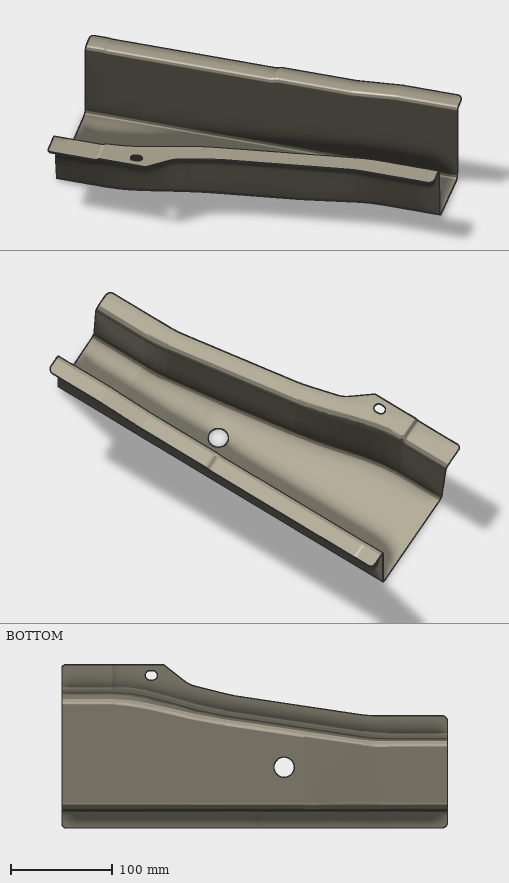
import cadquery as cq

LENGTH = 382.0
WIDTH = 162.0
HEIGHT = 91.3
SHEET = 1.5
OVERRUN = 7.5

BACK_FLANGE_BEND = 5.5
FRONT_FLANGE_BEND = 7.0
FLOOR_BEND = 4.5

BACK_WALL_Y = 141.7
BACK_STEP_FALL = 0.57
BACK_STEP_X = (19.0, 21.8)
BACK_LOW_Z = 85.0
BACK_JOGGLE_RISE = 1.7
BACK_JOGGLE_X = (189.5, 197.5)
BACK_RAMP_X = (272.7, 320.0)

FRONT_FLANGE_Z = 68.0
FRONT_JOGGLE_RISE = 2.1
FRONT_JOGGLE_X = (48.5, 54.2)

WALL_X = (48.5, 99.5, 160.5, 298.7, 324.0)
WALL_FOOT_Y = (36.3, 43.5, 56.0, 76.8, 78.0)
WALL_HEAD_Y = (27.5, 35.5, 51.0, 72.2, 74.0)

TWIST_X = (240.0, 322.8)
FLOOR_LIFT = 3.5

BACK_LEFT_RADIUS = 4.5
FRONT_LEFT_RADIUS = 4.0
RIGHT_RADIUS = 6.0
TAB_END_X = 101.0
NOTCH = ((120.7, 15.5), (129.5, 20.5))
EDGE_BEND = ((156.5, 27.5), (172.0, 31.0))
EDGE_END = ((294.0, 49.3), (313.2, 50.5))

ROUND_HOLE = (220.0, 101.5)
ROUND_HOLE_DIAMETER = 20.0
SLOT = (88.5, 10.7)
SLOT_LENGTH = 12.0
SLOT_WIDTH = 9.0


def add_joggle(profile, span, z_from, z_to):
    """Append a smooth S-shaped step made of two equal arcs to an XZ profile."""
    x_from, x_to = span
    profile = profile.lineTo(x_from, z_from)
    middle = ((x_from + x_to) / 2, (z_from + z_to) / 2)
    profile = profile.tangentArcPoint(middle, relative=False)
    return profile.tangentArcPoint((x_to, z_to), relative=False)


def start_shoulder(y, z):
    """Begin an XZ flange profile that lies at y and starts at height z."""
    profile = cq.Workplane("XZ", origin=(0, y, 0))
    return profile.moveTo(-OVERRUN, -OVERRUN).lineTo(-OVERRUN, z)


def finish_shoulder(profile, z, depth):
    """End a flange profile at height z, close it below and extrude it towards +Y."""
    profile = profile.lineTo(LENGTH + OVERRUN, z)
    profile = profile.lineTo(LENGTH + OVERRUN, -OVERRUN).close()
    return profile.extrude(-depth)


def back_shoulder(drop):
    """Body under the back flange, from the back wall outwards."""
    low = BACK_LOW_Z - drop
    start = low + BACK_STEP_FALL
    middle = low + BACK_JOGGLE_RISE
    top = HEIGHT - drop
    wall_y = BACK_WALL_Y + drop
    profile = start_shoulder(wall_y, start)
    profile = add_joggle(profile, BACK_STEP_X, start, low)
    profile = add_joggle(profile, BACK_JOGGLE_X, low, middle)
    ramp_start, ramp_end = BACK_RAMP_X
    profile = profile.lineTo(ramp_start, middle).lineTo(ramp_end, top)
    return finish_shoulder(profile, top, WIDTH + OVERRUN - wall_y)


def front_shoulder(drop):
    """Body at the height of the front flange, reaching across to the back wall."""
    high = FRONT_FLANGE_Z - drop
    low = high - FRONT_JOGGLE_RISE
    profile = start_shoulder(-OVERRUN, low)
    profile = add_joggle(profile, FRONT_JOGGLE_X, low, high)
    return finish_shoulder(profile, high, BACK_WALL_Y + drop + OVERRUN)


def cavity_outline(z, drop):
    """Plan outline of the channel at height z."""
    share = (z - SHEET) / (FRONT_FLANGE_Z - SHEET)
    wall = []
    for x, foot, head in zip(WALL_X, WALL_FOOT_Y, WALL_HEAD_Y):
        wall.append((x, foot + share * (head - foot) - drop))
    start, mid_bend, straight_start, straight_end, end = wall
    along_x = (1, 0)
    straight = (straight_end[0] - straight_start[0], straight_end[1] - straight_start[1])
    back_y = BACK_WALL_Y + drop
    plan = cq.Workplane("XY", origin=(0, 0, z))
    plan = plan.moveTo(-OVERRUN, start[1]).lineTo(*start)
    plan = plan.spline([mid_bend, straight_start], tangents=[along_x, straight], includeCurrent=True)
    plan = plan.lineTo(*straight_end)
    plan = plan.spline([end], tangents=[straight, along_x], includeCurrent=True)
    plan = plan.lineTo(LENGTH + OVERRUN, end[1]).lineTo(LENGTH + OVERRUN, back_y)
    return plan.lineTo(-OVERRUN, back_y).close().val()


def floor_section(x, lift, drop):
    """YZ section at x of the space below the floor, lifted towards the front."""
    floor_z = SHEET - drop
    back_y = BACK_WALL_Y + drop
    front_lift = lift * back_y / (BACK_WALL_Y - WALL_FOOT_Y[-1])
    below = -2 * OVERRUN
    corners = ((0, below), (back_y, below), (back_y, floor_z), (0, floor_z + front_lift))
    return cq.Wire.makePolygon([cq.Vector(x, y, z) for y, z in corners], close=True)


def below_floor(drop):
    """Space below the floor: a level, a twisting and a lifted stretch."""
    twist_start, twist_end = TWIST_X
    stations = (
        (-OVERRUN, 0),
        (twist_start, 0),
        (twist_end, FLOOR_LIFT),
        (LENGTH + OVERRUN, FLOOR_LIFT),
    )
    sections = [floor_section(x, lift, drop) for x, lift in stations]
    space = cq.Workplane()
    for pair in zip(sections, sections[1:]):
        space = space.add(cq.Solid.makeLoft(list(pair), True))
    return space.combine()


def lengthwise_edges(body, y_range, z_range):
    """Edges running along the part whose centres lie within the given ranges."""

    def wanted(edge):
        centre = edge.Center()
        box = edge.BoundingBox()
        inside_y = y_range[0] < centre.y < y_range[1]
        inside_z = z_range[0] < centre.z < z_range[1]
        return inside_y and inside_z and box.xlen > max(box.ylen, box.zlen)

    return body.newObject([edge for edge in body.edges().vals() if wanted(edge)])


def channel_cavity(drop):
    """Hollow of the channel with its floor bends."""
    outlines = [cavity_outline(z, drop) for z in (-OVERRUN, HEIGHT + OVERRUN)]
    cavity = cq.Workplane(cq.Solid.makeLoft(outlines, True)).cut(below_floor(drop))
    floor_edges = lengthwise_edges(cavity, (0, WIDTH), (-OVERRUN, FLOOR_LIFT + OVERRUN))
    return floor_edges.fillet(FLOOR_BEND + drop)


def body_below_sheet(drop):
    """Solid whose top is the sheet's upper face moved inwards by drop."""
    body = front_shoulder(drop).cut(channel_cavity(drop)).union(back_shoulder(drop))
    divide_y = BACK_WALL_Y - OVERRUN
    above_front_flange = FRONT_FLANGE_Z + OVERRUN
    below_front_flange = FRONT_FLANGE_Z - 2 * OVERRUN
    above_all = HEIGHT + OVERRUN
    front_heights = (below_front_flange, above_front_flange)
    front_edges = lengthwise_edges(body, (0, divide_y), front_heights)
    body = front_edges.fillet(FRONT_FLANGE_BEND - drop)
    back_heights = (above_front_flange, above_all)
    back_edges = lengthwise_edges(body, (divide_y, BACK_WALL_Y + OVERRUN), back_heights)
    return back_edges.fillet(BACK_FLANGE_BEND - drop)


def trim_outline():
    """Plan outline of the finished part, as a tall prism."""
    edge = cq.Workplane("XY", origin=(0, 0, -OVERRUN))
    edge = edge.moveTo(0, 0).lineTo(TAB_END_X, 0).lineTo(*NOTCH[0])
    edge = edge.tangentArcPoint(NOTCH[1], relative=False)
    edge = edge.lineTo(*EDGE_BEND[0]).tangentArcPoint(EDGE_BEND[1], relative=False)
    edge = edge.lineTo(*EDGE_END[0]).tangentArcPoint(EDGE_END[1], relative=False)
    edge = edge.lineTo(LENGTH, EDGE_END[1][1]).lineTo(LENGTH, WIDTH).lineTo(0, WIDTH).close()
    prism = edge.extrude(HEIGHT + 2 * OVERRUN)
    prism = prism.edges("|Z and >X").fillet(RIGHT_RADIUS)
    prism = prism.edges("|Z and <X and >Y").fillet(BACK_LEFT_RADIUS)
    return prism.edges("|Z and <X and <Y").fillet(FRONT_LEFT_RADIUS)


def hole_cutters():
    """Round hole through the floor and slot through the front tab."""
    base = cq.Workplane("XY", origin=(0, 0, -OVERRUN))
    tall = HEIGHT + 2 * OVERRUN
    round_hole = base.center(*ROUND_HOLE).circle(ROUND_HOLE_DIAMETER / 2).extrude(tall)
    slot = base.center(*SLOT).slot2D(SLOT_LENGTH, SLOT_WIDTH).extrude(tall)
    return round_hole.union(slot)


sheet = body_below_sheet(0).cut(body_below_sheet(SHEET))
result = sheet.intersect(trim_outline()).cut(hole_cutters())